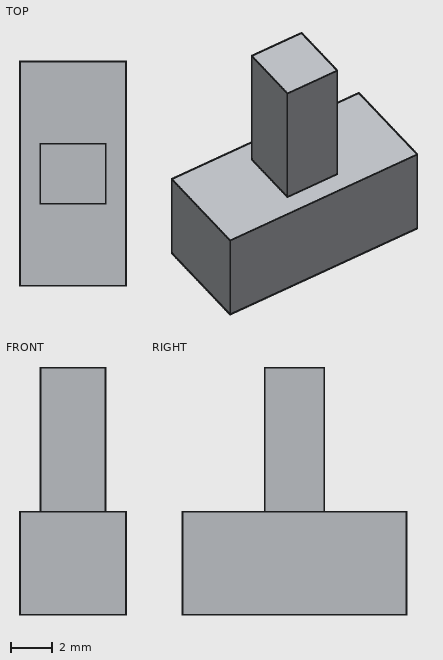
import cadquery as cq

base_width = 5.15
base_length = 10.9
base_height = 5.0

total_height = 12.0
post_width = 3.15
post_length = 2.9
post_height = total_height - base_height

base = cq.Workplane("XY").box(base_width, base_length, base_height, centered=(True, True, False))

result = (
    base.faces(">Z")
    .workplane()
    .rect(post_width, post_length)
    .extrude(post_height)
)